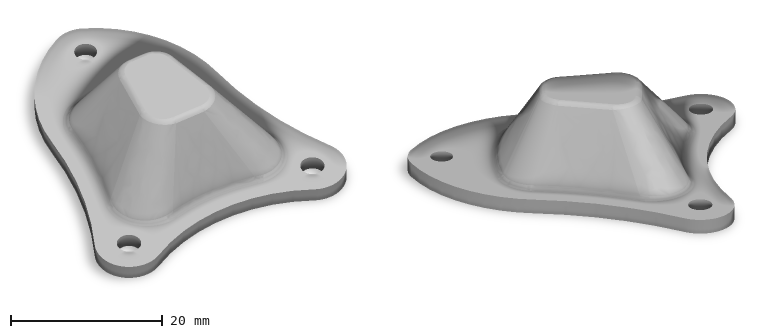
import cadquery as cq
import math

AXIS_ANGLE = 16.0

FLANGE_THICKNESS = 2.0
NOSE_RADIUS = 4.5
NOSE_HOLE_DIAMETER = 3.0
EAR_RADIUS = 4.53
EAR_HOLE_DIAMETER = 3.2
EAR_X = 34.15
EAR_Y = 14.15
FLANK_RADIUS = 19.55
FLANK_CENTER_ANGLE = 26.6
WAIST_RADIUS = 49.75
REAR_EDGE_X = 34.95

TOTAL_HEIGHT = 12.0
DOME_INSET = 3.0
FOOT_CORNER_RADIUS = 5.0
FOOT_FRONT_X = 7.0
FOOT_FRONT_RADIUS = 23.3
TOP_FRONT_X = 13.1
TOP_REAR_X = 26.1
TOP_FRONT_CORNER = (15.95, 1.05)
TOP_REAR_CORNER = (22.95, 1.95)
EDGE_FILLET = 1.0


def toward(start, target, distance):
    """Point at a distance from start in the direction of target."""
    dx = target[0] - start[0]
    dy = target[1] - start[1]
    scale = distance / math.hypot(dx, dy)
    return (start[0] + dx * scale, start[1] + dy * scale)


def polar(center, radius, degrees):
    angle = math.radians(degrees)
    return (center[0] + radius * math.cos(angle), center[1] + radius * math.sin(angle))


def meeting_point(first, first_distance, second, second_distance):
    """Point at given distances from two points, left of the line first to second."""
    dx = second[0] - first[0]
    dy = second[1] - first[1]
    span = math.hypot(dx, dy)
    along = (span**2 + first_distance**2 - second_distance**2) / (2 * span)
    aside = math.sqrt(first_distance**2 - along**2)
    return (
        first[0] + (dx * along - dy * aside) / span,
        first[1] + (dy * along + dx * aside) / span,
    )


def arc_middle(center, start, end):
    """Middle of the shorter arc between two points around a center."""
    chord_middle = ((start[0] + end[0]) / 2, (start[1] + end[1]) / 2)
    return toward(center, chord_middle, math.dist(center, start))


def mirrored(point):
    return (point[0], -point[1])


nose = (0, 0)
ear = (EAR_X, EAR_Y)
flank_center = polar(nose, FLANK_RADIUS - NOSE_RADIUS, -FLANK_CENTER_ANGLE)
waist_center = meeting_point(
    flank_center, FLANK_RADIUS + WAIST_RADIUS, ear, EAR_RADIUS + WAIST_RADIUS
)
ear_setback = EAR_X - REAR_EDGE_X + EAR_RADIUS
rear_radius = (EAR_Y**2 + (EAR_X - REAR_EDGE_X) ** 2 - EAR_RADIUS**2) / (2 * ear_setback)
rear_center = (REAR_EDGE_X + rear_radius, 0)


def flange():
    nose_end = toward(flank_center, nose, FLANK_RADIUS)
    flank_end = toward(flank_center, waist_center, FLANK_RADIUS)
    ear_start = toward(ear, waist_center, EAR_RADIUS)
    ear_end = toward(ear, rear_center, EAR_RADIUS)
    flank_middle = arc_middle(flank_center, nose_end, flank_end)
    waist_middle = arc_middle(waist_center, flank_end, ear_start)
    ear_middle = polar(ear, EAR_RADIUS, 45)
    plate = (
        cq.Workplane("XY")
        .moveTo(*mirrored(nose_end))
        .threePointArc((-NOSE_RADIUS, 0), nose_end)
        .threePointArc(flank_middle, flank_end)
        .threePointArc(waist_middle, ear_start)
        .threePointArc(ear_middle, ear_end)
        .threePointArc((REAR_EDGE_X, 0), mirrored(ear_end))
        .threePointArc(mirrored(ear_middle), mirrored(ear_start))
        .threePointArc(mirrored(waist_middle), mirrored(flank_end))
        .threePointArc(mirrored(flank_middle), mirrored(nose_end))
        .close()
        .extrude(FLANGE_THICKNESS)
    )
    nose_hole = cq.Workplane("XY").circle(NOSE_HOLE_DIAMETER / 2).extrude(FLANGE_THICKNESS)
    ear_holes = (
        cq.Workplane("XY")
        .pushPoints([ear, mirrored(ear)])
        .circle(EAR_HOLE_DIAMETER / 2)
        .extrude(FLANGE_THICKNESS)
    )
    return plate.cut(nose_hole).cut(ear_holes)


def add_foot_outline(plane):
    """Dome foot: concave sides parallel to the flange edges, rounded corners."""
    side_radius = WAIST_RADIUS + DOME_INSET
    foot_rear_radius = rear_radius + DOME_INSET
    front_center = (FOOT_FRONT_X + FOOT_FRONT_RADIUS, 0)
    front_corner = meeting_point(
        front_center,
        FOOT_FRONT_RADIUS - FOOT_CORNER_RADIUS,
        waist_center,
        side_radius + FOOT_CORNER_RADIUS,
    )
    rear_corner = meeting_point(
        rear_center,
        foot_rear_radius + FOOT_CORNER_RADIUS,
        waist_center,
        side_radius + FOOT_CORNER_RADIUS,
    )
    front_end = toward(front_center, front_corner, FOOT_FRONT_RADIUS)
    side_start = toward(waist_center, front_corner, side_radius)
    side_end = toward(waist_center, rear_corner, side_radius)
    rear_start = toward(rear_center, rear_corner, foot_rear_radius)
    front_middle = arc_middle(front_corner, front_end, side_start)
    side_middle = arc_middle(waist_center, side_start, side_end)
    rear_middle = arc_middle(rear_corner, side_end, rear_start)
    return (
        plane.moveTo(*mirrored(front_end))
        .threePointArc((FOOT_FRONT_X, 0), front_end)
        .threePointArc(front_middle, side_start)
        .threePointArc(side_middle, side_end)
        .threePointArc(rear_middle, rear_start)
        .threePointArc((rear_center[0] - foot_rear_radius, 0), mirrored(rear_start))
        .threePointArc(mirrored(rear_middle), mirrored(side_end))
        .threePointArc(mirrored(side_middle), mirrored(side_start))
        .threePointArc(mirrored(front_middle), mirrored(front_end))
        .close()
    )


def add_top_outline(plane):
    """Dome top: straight edges joined by tangent corner arcs."""
    front_radius = TOP_FRONT_CORNER[0] - TOP_FRONT_X
    rear_radius_top = TOP_REAR_X - TOP_REAR_CORNER[0]
    run = TOP_REAR_CORNER[0] - TOP_FRONT_CORNER[0]
    rise = TOP_REAR_CORNER[1] - TOP_FRONT_CORNER[1]
    lean = math.asin((rear_radius_top - front_radius) / math.hypot(run, rise))
    normal_angle = 90 + math.degrees(math.atan2(rise, run) + lean)
    front_end = (TOP_FRONT_X, TOP_FRONT_CORNER[1])
    side_start = polar(TOP_FRONT_CORNER, front_radius, normal_angle)
    side_end = polar(TOP_REAR_CORNER, rear_radius_top, normal_angle)
    rear_start = (TOP_REAR_X, TOP_REAR_CORNER[1])
    front_middle = arc_middle(TOP_FRONT_CORNER, front_end, side_start)
    rear_middle = polar(TOP_REAR_CORNER, rear_radius_top, normal_angle / 2)
    return (
        plane.moveTo(*mirrored(front_end))
        .lineTo(*front_end)
        .threePointArc(front_middle, side_start)
        .lineTo(*side_end)
        .threePointArc(rear_middle, rear_start)
        .lineTo(*mirrored(rear_start))
        .threePointArc(mirrored(rear_middle), mirrored(side_end))
        .lineTo(*mirrored(side_start))
        .threePointArc(mirrored(front_middle), mirrored(front_end))
        .close()
    )


def dome():
    foot = add_foot_outline(cq.Workplane("XY").workplane(offset=FLANGE_THICKNESS))
    top_plane = foot.workplane(offset=TOTAL_HEIGHT - FLANGE_THICKNESS, origin=(0, 0, FLANGE_THICKNESS))
    return add_top_outline(top_plane).loft(ruled=True)


def foot_edges(body):
    """Edges where the dome meets the flange: the inner dome loop on the flange top."""
    flange_top = body.faces("|Z").faces("<Z[1]")
    loops = flange_top.val().innerWires()
    dome_loop = max(loops, key=lambda loop: loop.Length())
    return flange_top.newObject(dome_loop.Edges())


body = flange().union(dome())
body = body.faces(">Z").edges().fillet(EDGE_FILLET)
body = foot_edges(body).fillet(EDGE_FILLET)
result = body.rotate((0, 0, 0), (0, 0, 1), AXIS_ANGLE)